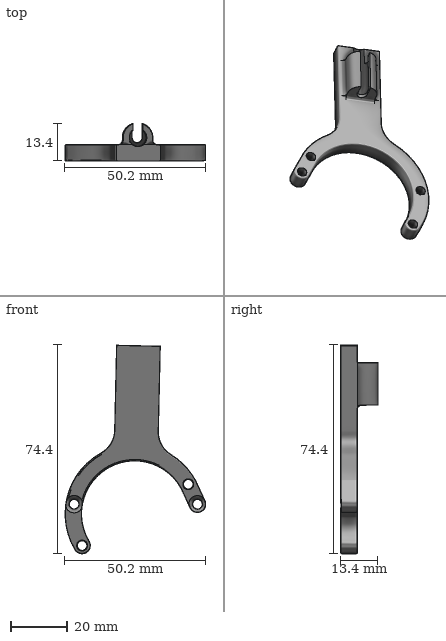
import cadquery as cq
import math

plate_depth = 5.95
tilt = 1.3
edge_fillet = 0.5

ring_radius = 21.85
arm_width = 5.9
left_end_angle = 212.3
left_screw_angle = 172.1
right_bend_angle = 30.3
right_tip_angle = 10.1
right_tip_radius = 22.7

stem_width = 15.6
stem_top = 60.0
stem_fillet = 9.45

hole_diameter = 3.4
rim_angle = 90
countersink_diameter = 6.2
countersink_angle = 90
rim_chamfer = 0.2

clip_top = 53.9
clip_height = 15.0
clip_radius = 5.3
clip_axis_y = plate_depth + 2.45
clip_fillet = 1.5
bore_radius = 3.1
slot_width = 3.6
floor_thickness = 1.1

arm_half = arm_width / 2
outer_radius = ring_radius + arm_half
inner_radius = ring_radius - arm_half
clip_bottom = clip_top - clip_height


def polar(radius, angle):
    """Point (x, z) on a circle around the ring centre."""
    turn = math.radians(angle)
    return (radius * math.cos(turn), radius * math.sin(turn))


left_end = polar(ring_radius, left_end_angle)
left_screw = polar(ring_radius, left_screw_angle)
right_bend = polar(ring_radius, right_bend_angle)
right_tip = polar(right_tip_radius, right_tip_angle)


def front_plane():
    """Plane facing the front; its local coordinates are X and Z."""
    return cq.Workplane("XZ")


def disc(center, radius):
    return front_plane().center(*center).circle(radius).extrude(-plate_depth)


def curved_arm():
    middle = (left_end_angle + right_bend_angle) / 2
    return (
        front_plane()
        .moveTo(*polar(outer_radius, right_bend_angle))
        .threePointArc(polar(outer_radius, middle), polar(outer_radius, left_end_angle))
        .lineTo(*polar(inner_radius, left_end_angle))
        .threePointArc(polar(inner_radius, middle), polar(inner_radius, right_bend_angle))
        .close()
        .extrude(-plate_depth)
    )


def straight_arm():
    run_x = right_tip[0] - right_bend[0]
    run_z = right_tip[1] - right_bend[1]
    length = math.hypot(run_x, run_z)
    direction = math.degrees(math.atan2(run_z, run_x))
    middle = ((right_tip[0] + right_bend[0]) / 2, (right_tip[1] + right_bend[1]) / 2)
    return (
        front_plane()
        .center(*middle)
        .slot2D(length + arm_width, arm_width, direction)
        .extrude(-plate_depth)
    )


def plate():
    stem_height = stem_top - ring_radius
    stem = (
        front_plane()
        .center(0, ring_radius + stem_height / 2)
        .rect(stem_width, stem_height)
        .extrude(-plate_depth)
    )
    body = curved_arm().union(stem)
    root_height = math.sqrt(outer_radius**2 - (stem_width / 2) ** 2)
    for side in (-1, 1):
        root = (side * stem_width / 2, plate_depth / 2, root_height)
        body = body.edges(cq.selectors.NearestToPointSelector(root)).fillet(stem_fillet)
    body = body.union(straight_arm()).union(disc(left_end, arm_half)).clean()
    return body.faces("<Y or >Y").edges("not >Z").fillet(edge_fillet)


def hole(center, mouth_diameter, mouth_angle):
    """Through hole with a conical mouth on the front face."""
    radius = hole_diameter / 2
    mouth = mouth_diameter / 2
    mouth_depth = (mouth - radius) / math.tan(math.radians(mouth_angle / 2))
    cutter = (
        cq.Workplane("XY")
        .polyline([(0, 0), (mouth, 0), (radius, mouth_depth), (radius, plate_depth), (0, plate_depth)])
        .close()
        .revolve(360, (0, 0), (0, 1))
    )
    return cutter.translate((center[0], 0, center[1]))


def clip():
    """C-shaped clip body, flared where it meets the stem at the sides and below."""
    half_foot = clip_radius + clip_fillet
    flare_top = plate_depth + clip_fillet
    bend = clip_fillet * (1 - math.sqrt(0.5))
    body = (
        cq.Workplane("XY", origin=(0, 0, clip_bottom))
        .moveTo(-half_foot, plate_depth)
        .threePointArc((-clip_radius - bend, plate_depth + bend), (-clip_radius, flare_top))
        .lineTo(-clip_radius, clip_axis_y)
        .threePointArc((0, clip_axis_y + clip_radius), (clip_radius, clip_axis_y))
        .lineTo(clip_radius, flare_top)
        .threePointArc((clip_radius + bend, plate_depth + bend), (half_foot, plate_depth))
        .close()
        .extrude(clip_height)
    )
    lower_flare = (
        cq.Workplane("YZ")
        .moveTo(plate_depth, clip_bottom)
        .lineTo(flare_top, clip_bottom)
        .threePointArc((plate_depth + bend, clip_bottom - bend), (plate_depth, clip_bottom - clip_fillet))
        .close()
        .extrude(clip_radius, both=True)
    )
    return body.union(lower_flare)


def clip_bore():
    """Round bore open at the top of the stem, ending on the clip floor."""
    floor = clip_bottom + floor_thickness
    return (
        cq.Workplane("XY", origin=(0, clip_axis_y, floor))
        .circle(bore_radius)
        .extrude(stem_top - floor)
    )


def clip_slot():
    """Round-bottomed slot through the full height of the clip, open to the back."""
    half = slot_width / 2
    slot_bottom = clip_bottom - clip_fillet
    return (
        cq.Workplane("XY", origin=(0, clip_axis_y, slot_bottom))
        .moveTo(-half, clip_radius)
        .lineTo(-half, 0)
        .threePointArc((0, -half), (half, 0))
        .lineTo(half, clip_radius)
        .close()
        .extrude(clip_top - slot_bottom)
    )


result = plate().union(clip()).cut(clip_bore()).cut(clip_slot())
for screw in (left_screw, right_tip):
    result = result.cut(hole(screw, countersink_diameter, countersink_angle))
for pin in (left_end, right_bend):
    result = result.cut(hole(pin, hole_diameter + 2 * rim_chamfer, rim_angle))
result = result.rotate((0, 0, 0), (0, 1, 0), tilt)